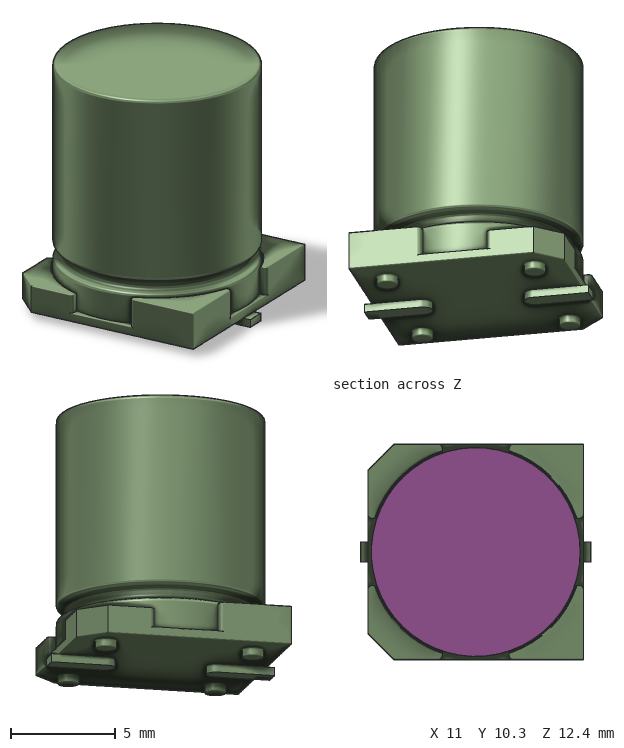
import cadquery as cq

total_height = 12.4
base_width = 10.3
lead_span = 11.0

can_radius = 10.0 / 2
groove_radius = 9.0 / 2
groove_floor_low_z = 2.65
groove_floor_width = 0.2
bend_radius = 0.2
lower_hollow_radius = 0.24
top_round = 0.2

base_bottom_z = 0.4
plate_top_z = 0.84
low_post_top_z = 1.77
high_post_top_z = 2.27
corner_cut = 1.24
seat_clearance = 0.05
gap_width = 3.2
gap_corner_round = 0.2
edge_round = 0.05

foot_diameter = 1.0
foot_offset = 3.62
lead_width = 0.97
lead_inner_x = 2.27


def make_can():
    """Solid of revolution; each groove side is a convex bend, a flat ring and a hollow bend."""
    floor_high_z = groove_floor_low_z + groove_floor_width
    ring_low_z = groove_floor_low_z - lower_hollow_radius
    ring_high_z = floor_high_z + bend_radius
    shoulder_low_z = ring_low_z - bend_radius
    shoulder_high_z = ring_high_z + bend_radius
    profile = (
        cq.Workplane("XZ")
        .moveTo(0, plate_top_z)
        .lineTo(can_radius, plate_top_z)
        .lineTo(can_radius, shoulder_low_z)
        .tangentArcPoint((can_radius - bend_radius, ring_low_z), relative=False)
        .lineTo(groove_radius + lower_hollow_radius, ring_low_z)
        .tangentArcPoint((groove_radius, groove_floor_low_z), relative=False)
        .lineTo(groove_radius, floor_high_z)
        .tangentArcPoint((groove_radius + bend_radius, ring_high_z), relative=False)
        .lineTo(can_radius - bend_radius, ring_high_z)
        .tangentArcPoint((can_radius, shoulder_high_z), relative=False)
        .lineTo(can_radius, total_height)
        .lineTo(0, total_height)
        .close()
    )
    can = profile.revolve(360, (0, 0, 0), (0, 1, 0))
    return can.faces(">Z").edges().fillet(top_round)


def make_block(bottom_z, top_z):
    """Square block with the -X corners cut off and the upright +X edges softened."""
    block = (
        cq.Workplane("XY")
        .workplane(offset=bottom_z)
        .rect(base_width, base_width)
        .extrude(top_z - bottom_z)
    )
    block = block.edges("|Z and <X").chamfer(corner_cut)
    return block.edges("|Z and >X").fillet(edge_round)


def make_posts(x_side, top_z):
    """The two corner posts on one X side, hollowed to stand just clear of the can."""
    post_root_z = plate_top_z - 2 * edge_round
    post_size = (base_width - gap_width) / 2
    post_offset = (base_width - post_size) / 2
    corner_boxes = (
        cq.Workplane("XY")
        .pushPoints([(x_side * post_offset, -post_offset), (x_side * post_offset, post_offset)])
        .rect(post_size, post_size)
        .extrude(top_z)
    )
    can_seat = cq.Workplane("XY").circle(can_radius + seat_clearance).extrude(total_height)
    posts = make_block(post_root_z, top_z).intersect(corner_boxes).cut(can_seat)

    half_gap = gap_width / 2
    half_base = base_width / 2
    pick = 0.01
    for y_side in (-1, 1):
        for x, y in ((half_gap, half_base), (half_base, half_gap)):
            low = (x_side * x - pick, y_side * y - pick, 0)
            high = (x_side * x + pick, y_side * y + pick, total_height)
            posts = posts.edges(cq.selectors.BoxSelector(low, high)).edges("|Z").fillet(gap_corner_round)
    return posts.faces(">Z").edges().fillet(edge_round)


def make_base():
    plate = make_block(base_bottom_z, plate_top_z).faces("<Z or >Z").edges().fillet(edge_round)
    low_posts = make_posts(-1, low_post_top_z)
    high_posts = make_posts(1, high_post_top_z)
    return plate.union(low_posts).union(high_posts)


def make_feet():
    """Four round feet, each with a rounded sole and a small flare where it meets the plate."""
    sole_r = foot_diameter / 2 - edge_round
    foot_r = foot_diameter / 2
    flare_r = foot_r + edge_round
    foot = (
        cq.Workplane("XZ")
        .lineTo(sole_r, 0)
        .tangentArcPoint((foot_r, edge_round), relative=False)
        .lineTo(foot_r, base_bottom_z - edge_round)
        .tangentArcPoint((flare_r, base_bottom_z), relative=False)
        .lineTo(0, base_bottom_z)
        .close()
        .revolve(360, (0, 0, 0), (0, 1, 0))
    )
    return (
        cq.Workplane("XY")
        .rect(2 * foot_offset, 2 * foot_offset, forConstruction=True)
        .vertices()
        .eachpoint(lambda place: foot.val().moved(place), combine="a")
    )


def make_lead(x_side):
    """Flat lead with a square outer end and a full-round inner end."""
    half_width = lead_width / 2
    outer_x = x_side * lead_span / 2
    inner_x = x_side * lead_inner_x
    round_start_x = inner_x + x_side * half_width
    return (
        cq.Workplane("XY")
        .moveTo(outer_x, -half_width)
        .lineTo(round_start_x, -half_width)
        .threePointArc((inner_x, 0), (round_start_x, half_width))
        .lineTo(outer_x, half_width)
        .close()
        .extrude(base_bottom_z)
    )


result = make_base().union(make_can()).union(make_feet())
for side in (-1, 1):
    result = result.union(make_lead(side))